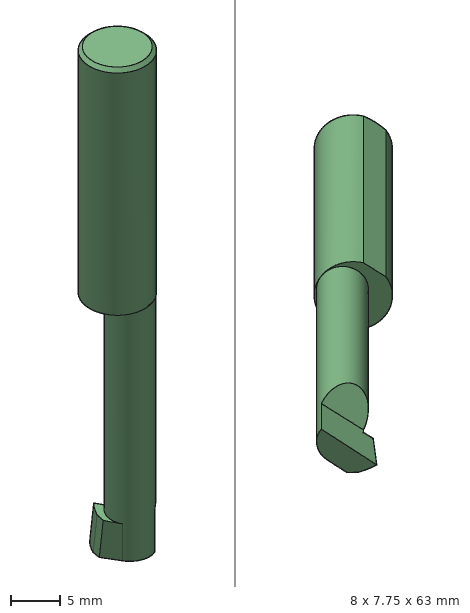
import cadquery as cq
import math

total_length = 63.0
shank_diameter = 8.0
shank_length = 30.95
shank_chamfer = 0.45
flat_depth = 0.25

neck_diameter = 5.3
rake_run_out = 45.0
rake_height = 5.55

head_height = 5.05
tip_x = -2.95
head_lean = 0.45
flank_run = 0.95
flank_depth = 1.9
flank_bulge = 0.05
heel_run = 0.9

end_relief_x = 2.0
end_relief_y = 5.0

shank_radius = shank_diameter / 2
flat_offset = shank_radius - flat_depth
neck_radius = neck_diameter / 2
neck_x = shank_radius - neck_radius
shank_bottom = total_length - shank_length


def make_shank():
    shank = (
        cq.Workplane("XY", origin=(0, 0, shank_bottom))
        .circle(shank_radius)
        .extrude(shank_length)
        .faces(">Z")
        .chamfer(shank_chamfer)
    )
    flat_cut = (
        cq.Workplane("XY", origin=(0, flat_offset, shank_bottom))
        .rect(shank_diameter, shank_diameter)
        .extrude(shank_length)
        .translate((0, shank_radius, 0))
    )
    return shank.cut(flat_cut)


def make_neck():
    neck = cq.Workplane("XY", origin=(neck_x, 0, 0)).circle(neck_radius).extrude(shank_bottom)
    run_out_rise = neck_diameter * math.tan(math.radians(rake_run_out))
    rake_cut = (
        cq.Workplane("YZ", origin=(neck_x, 0, 0))
        .moveTo(0, 0)
        .lineTo(0, rake_height)
        .lineTo(neck_diameter, rake_height + run_out_rise)
        .lineTo(neck_diameter, 0)
        .close()
        .extrude(neck_radius, both=True)
    )
    return neck.cut(rake_cut)


def make_head():
    flank_end = (tip_x + flank_run, -flank_depth)
    flank_middle = (tip_x + flank_run / 2 - flank_bulge, -flank_depth / 2 - flank_bulge / 2)
    heel_end_x = tip_x + flank_run + heel_run
    back_x = neck_x + head_lean
    profile = (
        cq.Workplane("XY")
        .moveTo(tip_x, 0)
        .threePointArc(flank_middle, flank_end)
        .lineTo(heel_end_x, -neck_radius)
        .lineTo(back_x, -neck_radius)
        .lineTo(back_x, 0)
        .close()
        .wires()
        .val()
    )
    head = cq.Solid.extrudeLinear(profile, [], cq.Vector(head_lean, 0, head_height))
    trim_length = neck_x - tip_x
    trim = cq.Workplane("XY").box(trim_length, neck_radius, head_height, centered=False)
    trim = trim.translate((tip_x, -neck_radius, 0))
    return trim.intersect(cq.Workplane(head))


def make_end_relief():
    """Block whose top face passes through the tip and rises towards +X and -Y."""
    block_size = 4 * shank_diameter
    block = cq.Workplane("XY").box(block_size, block_size, shank_diameter, centered=(True, True, False))
    return (
        block.translate((0, 0, -shank_diameter))
        .rotate((0, 0, 0), (1, 0, 0), -end_relief_y)
        .rotate((0, 0, 0), (0, 1, 0), -end_relief_x)
        .translate((tip_x, 0, 0))
    )


result = make_shank().union(make_neck()).union(make_head()).cut(make_end_relief())